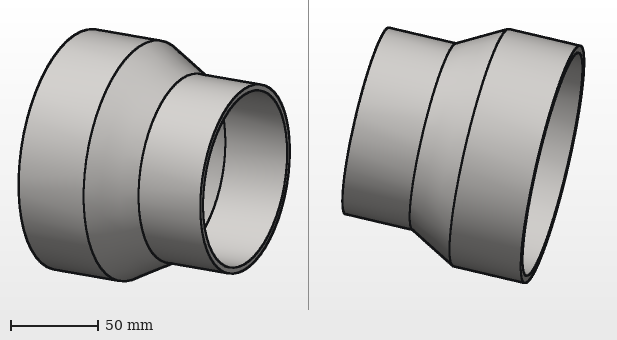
import cadquery as cq

length = 110.0
wide_diameter = 140.0
wide_bore = 131.5
narrow_diameter = 110.0
narrow_bore = 103.0
wide_length = 42.3
narrow_length = 40.0

taper_start = wide_length
taper_end = length - narrow_length


def stepped_cone(wide_end_diameter, narrow_end_diameter):
    """Solid of revolution about X: cylinder, cone, smaller cylinder."""
    wide_radius = wide_end_diameter / 2
    narrow_radius = narrow_end_diameter / 2
    return (
        cq.Workplane("XY")
        .moveTo(0, 0)
        .lineTo(0, wide_radius)
        .lineTo(taper_start, wide_radius)
        .lineTo(taper_end, narrow_radius)
        .lineTo(length, narrow_radius)
        .lineTo(length, 0)
        .close()
        .revolve(360, (0, 0, 0), (1, 0, 0))
    )


outside = stepped_cone(wide_diameter, narrow_diameter)
bore = stepped_cone(wide_bore, narrow_bore)
result = outside.cut(bore)